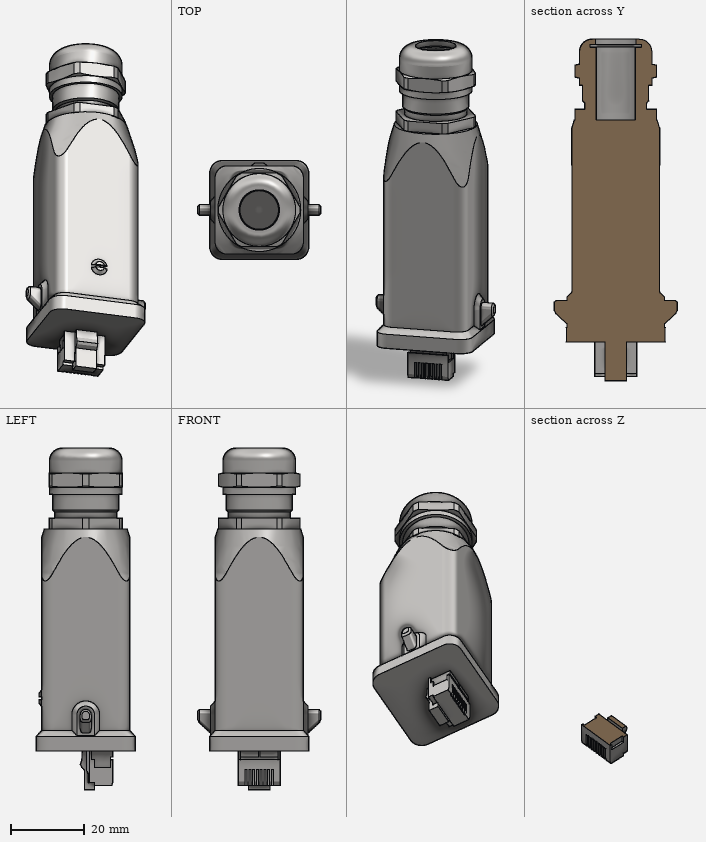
import cadquery as cq
import math


FLANGE_SIZE = 27.0
FLANGE_CORNER = 3.5
FLANGE_EDGE_TOP = 4.0
FLANGE_SLOPE_TOP = 5.65
BODY_SIZE = 24.0
BODY_CORNER = 3.2
BODY_TOP = 60.5

CONE_TOP_RADIUS = 11.3
CONE_HALF_ANGLE = 17.0

HEX_WIDTH = 20.0
HEX_CORNER_RADIUS = 11.1
NUT_TOP = 63.4
NECK_RADIUS = 8.5
NECK_TOP = 65.1
SLEEVE_RADIUS = 9.05
SLEEVE_CHAMFER = 0.5
CAP_RADIUS = 9.9
CAP_BOTTOM = 69.9
CAP_HEX_BOTTOM = 71.8
CAP_HEX_TOP = 75.7
CAP_HEX_CHAMFER_RISE = 0.3
CAP_TOP = 82.5
CAP_FILLET = 3.5
MOUTH_RADIUS = 5.5
LIP_THICKNESS = 1.5
UNDERCUT_RADIUS = 7.0
SEAL_DEPTH = 2.2
BORE_RADIUS = 5.25

PIN_HEIGHT = 9.85
PIN_RADIUS = 1.5
PIN_SPAN = 33.5
PIN_CHAMFER = 0.5
BOSS_BASE_RADIUS = 3.8
BOSS_FACE_RADIUS = 2.4
BOSS_FACE_X = 13.3
BOSS_FOOT = 4.1
PIN_FOOT = 4.9
PIN_TIP_BOTTOM = 8.1
PIN_EDGE_FILLET = 0.9

SCREW_HEIGHT = 14.4
SCREW_BASE_RADIUS = 2.3
SCREW_TOP_RADIUS = 1.3
SCREW_HEAD = 0.75
SCREW_SLOT = 0.75

PLUG_WIDTH = 11.5
PLUG_NECK_WIDTH = 10.3
PLUG_FRONT_Y = -7.4
PLUG_BACK_Y = -0.95
PLUG_BOTTOM = -9.4
PLUG_TAPER_HEIGHT = 1.0
PLUG_TAPER_DEPTH = 0.3
WALL_FRONT_Y = -6.8
WALL_BACK_Y = -1.6
SIDE_STEP_Y = -2.4
SIDE_STEP_BACK = -2.3
SIDE_STEP_FRONT = -4.4
GROOVE_TOP = -1.65
GROOVE_BOTTOM = -2.35
CENTRE_SLIT_WIDTH = 0.35
CONTACT_COUNT = 8
CONTACT_PITCH = 1.02
CONTACT_SLOT_WIDTH = 0.6
CONTACT_SLOT_DEPTH = 0.6
CONTACT_TOP = -5.0
LATCH_WIDTH = 5.9
OVERALL_HEIGHT = 93.08
LATCH_BOTTOM = CAP_TOP - OVERALL_HEIGHT
LATCH_HOOK_TOP = -8.6
LATCH_BACK_Y = 0.4


def box(x_range, y_range, z_range):
    """Axis-aligned block spanning the given ranges."""
    size = [high - low for low, high in (x_range, y_range, z_range)]
    corner = (x_range[0], y_range[0], z_range[0])
    return cq.Workplane("XY").box(*size, centered=False).translate(corner)


def centred(width):
    """Range of the given width centred on zero."""
    return (-width / 2, width / 2)


def rounded_square(size, corner):
    return cq.Sketch().rect(size, size).vertices().fillet(corner)


def make_housing():
    flange_outline = rounded_square(FLANGE_SIZE, FLANGE_CORNER)
    body_outline = rounded_square(BODY_SIZE, BODY_CORNER)
    flange = cq.Workplane("XY").placeSketch(flange_outline).extrude(FLANGE_EDGE_TOP)
    slope = (
        cq.Workplane("XY")
        .placeSketch(
            flange_outline.moved(cq.Location(cq.Vector(0, 0, FLANGE_EDGE_TOP))),
            body_outline.moved(cq.Location(cq.Vector(0, 0, FLANGE_SLOPE_TOP))),
        )
        .loft()
    )
    body = cq.Workplane("XY").placeSketch(body_outline).extrude(BODY_TOP)
    cone_base_radius = CONE_TOP_RADIUS + BODY_TOP * math.tan(math.radians(CONE_HALF_ANGLE))
    cone = (
        cq.Workplane("XZ")
        .polyline([(0, 0), (cone_base_radius, 0), (CONE_TOP_RADIUS, BODY_TOP), (0, BODY_TOP)])
        .close()
        .revolve(360, (0, 0), (0, 1))
    )
    return body.intersect(cone).union(flange).union(slope)


def hexagon(bottom, top):
    """Hexagonal nut with two corners on the X axis, turned down to the corner radius."""
    across_corners = HEX_WIDTH / math.cos(math.radians(30))
    prism = cq.Workplane("XY", (0, 0, bottom)).polygon(6, across_corners).extrude(top - bottom)
    turned = cq.Workplane("XY", (0, 0, bottom)).circle(HEX_CORNER_RADIUS).extrude(top - bottom)
    return prism.intersect(turned)


def make_cap_hex():
    """Nut of the cap, with its corners bevelled above and below."""
    bevel = (
        cq.Workplane("XZ")
        .moveTo(0, CAP_HEX_BOTTOM)
        .lineTo(CAP_RADIUS, CAP_HEX_BOTTOM)
        .lineTo(HEX_CORNER_RADIUS, CAP_HEX_BOTTOM + CAP_HEX_CHAMFER_RISE)
        .lineTo(HEX_CORNER_RADIUS, CAP_HEX_TOP - CAP_HEX_CHAMFER_RISE)
        .lineTo(CAP_RADIUS, CAP_HEX_TOP)
        .lineTo(0, CAP_HEX_TOP)
        .close()
        .revolve(360, (0, 0), (0, 1))
    )
    return hexagon(CAP_HEX_BOTTOM, CAP_HEX_TOP).intersect(bevel)


def make_gland():
    fillet_mid = CAP_FILLET * math.cos(math.radians(45))
    fillet_x = CAP_RADIUS - CAP_FILLET
    fillet_z = CAP_TOP - CAP_FILLET
    turned = (
        cq.Workplane("XZ")
        .moveTo(0, BODY_TOP)
        .lineTo(NECK_RADIUS, BODY_TOP)
        .lineTo(NECK_RADIUS, NECK_TOP)
        .lineTo(SLEEVE_RADIUS, NECK_TOP + SLEEVE_CHAMFER)
        .lineTo(SLEEVE_RADIUS, CAP_BOTTOM)
        .lineTo(CAP_RADIUS, CAP_BOTTOM)
        .lineTo(CAP_RADIUS, fillet_z)
        .threePointArc((fillet_x + fillet_mid, fillet_z + fillet_mid), (fillet_x, CAP_TOP))
        .lineTo(0, CAP_TOP)
        .close()
        .revolve(360, (0, 0), (0, 1))
    )
    return turned.union(hexagon(BODY_TOP, NUT_TOP)).union(make_cap_hex())


def cut_bore(part):
    """Blind cable bore: lip at the mouth, undercut below it, then the seal."""
    for radius, bottom, top in (
        (MOUTH_RADIUS, CAP_TOP - LIP_THICKNESS, CAP_TOP),
        (UNDERCUT_RADIUS, CAP_TOP - SEAL_DEPTH, CAP_TOP - LIP_THICKNESS),
        (BORE_RADIUS, BODY_TOP, CAP_TOP - SEAL_DEPTH),
    ):
        part = part.cut(cq.Workplane("XY", (0, 0, bottom)).circle(radius).extrude(top - bottom))
    return part


def arch(x, radius, foot):
    """Arched outline around the pin axis in the plane at x, reaching down to foot."""
    return (
        cq.Workplane("YZ", (x, 0, 0))
        .moveTo(-radius, foot)
        .lineTo(radius, foot)
        .lineTo(radius, PIN_HEIGHT)
        .threePointArc((0, PIN_HEIGHT + radius), (-radius, PIN_HEIGHT))
        .close()
    )


def make_pin():
    """Boss and pin on the +X side; the pin is an arch with a sloping underside."""
    wall_x = BODY_SIZE / 2
    tip_x = PIN_SPAN / 2
    base = arch(wall_x, BOSS_BASE_RADIUS, BOSS_FOOT).wires().val()
    face = arch(BOSS_FACE_X, BOSS_FACE_RADIUS, BOSS_FOOT).wires().val()
    boss = cq.Workplane(cq.Solid.makeLoft([base, face], True))
    underside = (
        cq.Workplane("XZ")
        .polyline([(BOSS_FACE_X, PIN_FOOT), (tip_x, PIN_TIP_BOTTOM), (tip_x, PIN_FOOT)])
        .close()
        .extrude(PIN_RADIUS, both=True)
    )
    pin = (
        arch(BOSS_FACE_X, PIN_RADIUS, PIN_FOOT)
        .extrude(tip_x - BOSS_FACE_X)
        .cut(underside)
        .faces("<Z")
        .edges("not |Y")
        .fillet(PIN_EDGE_FILLET)
        .faces(">X")
        .chamfer(PIN_CHAMFER)
    )
    return boss.union(pin)


def make_screw_head():
    wall_y = BODY_SIZE / 2
    head_top = wall_y + SCREW_HEAD
    head = (
        cq.Workplane("XY", (0, 0, SCREW_HEIGHT))
        .moveTo(0, wall_y)
        .lineTo(SCREW_BASE_RADIUS, wall_y)
        .lineTo(SCREW_TOP_RADIUS, head_top)
        .lineTo(0, head_top)
        .close()
        .revolve(360, (0, 0), (0, 1))
    )
    slot_z = (SCREW_HEIGHT - SCREW_SLOT / 2, SCREW_HEIGHT + SCREW_SLOT / 2)
    slot = box(centred(2 * SCREW_BASE_RADIUS), (wall_y, head_top), slot_z)
    return head.cut(slot)


def make_plug():
    plug = (
        cq.Workplane("YZ")
        .polyline([
            (PLUG_BACK_Y, 0),
            (PLUG_BACK_Y, LATCH_HOOK_TOP),
            (SIDE_STEP_Y, LATCH_HOOK_TOP),
            (SIDE_STEP_Y, PLUG_BOTTOM),
            (PLUG_FRONT_Y + PLUG_TAPER_DEPTH, PLUG_BOTTOM),
            (PLUG_FRONT_Y, PLUG_BOTTOM + PLUG_TAPER_HEIGHT),
            (PLUG_FRONT_Y, 0),
        ])
        .close()
        .extrude(PLUG_WIDTH / 2, both=True)
    )
    side_depth = (PLUG_WIDTH - PLUG_NECK_WIDTH) / 2
    for low_x in (-PLUG_WIDTH / 2, PLUG_NECK_WIDTH / 2):
        side = (low_x, low_x + side_depth)
        plug = plug.cut(box(side, (WALL_FRONT_Y, SIDE_STEP_Y), (SIDE_STEP_FRONT, 0)))
        plug = plug.cut(box(side, (SIDE_STEP_Y, WALL_BACK_Y), (SIDE_STEP_BACK, 0)))
        plug = plug.cut(box(side, (PLUG_FRONT_Y, WALL_FRONT_Y), (GROOVE_BOTTOM, 0)))
    front_wall = (PLUG_FRONT_Y, WALL_FRONT_Y)
    plug = plug.cut(box(centred(PLUG_WIDTH), front_wall, (GROOVE_BOTTOM, GROOVE_TOP)))
    plug = plug.cut(box(centred(CENTRE_SLIT_WIDTH), front_wall, (GROOVE_TOP, 0)))
    contact_y = (PLUG_FRONT_Y, PLUG_FRONT_Y + CONTACT_SLOT_DEPTH)
    for index in range(CONTACT_COUNT):
        centre_x = (index - (CONTACT_COUNT - 1) / 2) * CONTACT_PITCH
        contact_x = (centre_x - CONTACT_SLOT_WIDTH / 2, centre_x + CONTACT_SLOT_WIDTH / 2)
        plug = plug.cut(box(contact_x, contact_y, (PLUG_BOTTOM, CONTACT_TOP)))
    return plug


def make_latch():
    """Spring latch hooked under the plug, rising behind it to the flange."""
    arm_inner_y = -0.3
    arm_top_y = 1.0
    catch_tip = (1.5, -3.6)
    catch_upper = (1.1, -2.4)
    catch_lower = (1.1, -4.4)
    arm_bend = -5.2
    root = (-0.7, -6.4)
    return (
        cq.Workplane("YZ")
        .polyline([
            (SIDE_STEP_Y, LATCH_BOTTOM),
            (LATCH_BACK_Y, LATCH_BOTTOM),
            (LATCH_BACK_Y, arm_bend),
            catch_lower,
            catch_tip,
            catch_upper,
            (arm_top_y, 0),
            (arm_inner_y, 0),
            (arm_inner_y, arm_bend),
            root,
            (root[0], LATCH_HOOK_TOP),
            (SIDE_STEP_Y, LATCH_HOOK_TOP),
        ])
        .close()
        .extrude(LATCH_WIDTH / 2, both=True)
    )


pin = make_pin()
result = cut_bore(make_housing().union(make_gland()))
result = result.union(pin).union(pin.mirror("YZ")).union(make_screw_head())
result = result.union(make_plug()).union(make_latch())